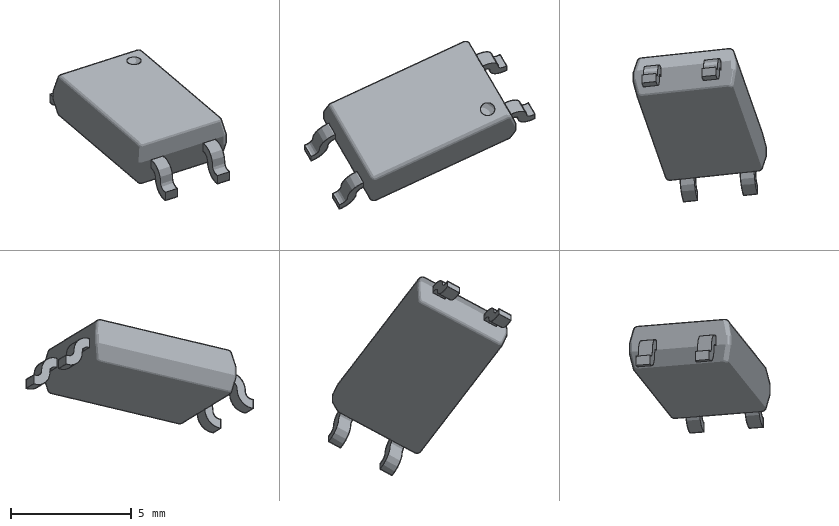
import cadquery as cq
import math

overall_length = 9.18
overall_height = 2.2
body_length = 6.9
body_width = 4.39
body_height = 2.0
body_taper = 12.0
edge_radius = 0.2

lead_thickness = 0.4
lead_width = 0.6
lead_pitch = 2.54
inner_bend = 0.29
foot_flat = 0.09
lead_embed = 0.18

dimple_diameter = 0.6
dimple_depth = 0.1
dimple_edge_distance = 0.93

outer_bend = inner_bend + lead_thickness
lead_top = inner_bend + outer_bend + lead_thickness
belt_bottom = lead_top - lead_thickness
body_bottom = overall_height - body_height


def tapered_half(start_z, height):
    """Half of the body, narrowing away from the belt; negative height goes down."""
    return (
        cq.Workplane("XY", origin=(0, 0, start_z))
        .rect(body_length, body_width)
        .extrude(height, taper=body_taper)
    )


def make_body():
    belt = (
        cq.Workplane("XY", origin=(0, 0, belt_bottom))
        .rect(body_length, body_width)
        .extrude(lead_thickness)
    )
    upper = tapered_half(lead_top, overall_height - lead_top)
    lower = tapered_half(belt_bottom, body_bottom - belt_bottom)
    body = belt.union(upper).union(lower)
    corners = body.edges("not #Z")
    rims = body.edges("<Z or >Z")
    return body.newObject(corners.vals() + rims.vals()).fillet(edge_radius)


def make_lead(y_center):
    """S-shaped lead on the -X end."""
    foot_end = -overall_length / 2
    bend_start = foot_end + foot_flat
    bend_end = bend_start + inner_bend + outer_bend
    root = -body_length / 2 + lead_embed
    diagonal = math.sqrt(0.5)
    foot_center_z = outer_bend
    shoulder_center_z = belt_bottom - inner_bend

    def foot_arc_middle(radius):
        return (bend_start + radius * diagonal, foot_center_z - radius * diagonal)

    def shoulder_arc_middle(radius):
        return (bend_end - radius * diagonal, shoulder_center_z + radius * diagonal)

    return (
        cq.Workplane("XZ", origin=(0, y_center, 0))
        .moveTo(foot_end, 0)
        .lineTo(bend_start, 0)
        .threePointArc(foot_arc_middle(outer_bend), (bend_start + outer_bend, foot_center_z))
        .threePointArc(shoulder_arc_middle(inner_bend), (bend_end, belt_bottom))
        .lineTo(root, belt_bottom)
        .lineTo(root, lead_top)
        .lineTo(bend_end, lead_top)
        .threePointArc(shoulder_arc_middle(outer_bend), (bend_end - outer_bend, shoulder_center_z))
        .threePointArc(foot_arc_middle(inner_bend), (bend_start, lead_thickness))
        .lineTo(foot_end, lead_thickness)
        .close()
        .extrude(lead_width / 2, both=True)
    )


def make_dimple():
    """Shallow spherical cap, with the sphere's poles along X."""
    sphere_radius = ((dimple_diameter / 2) ** 2 + dimple_depth**2) / (2 * dimple_depth)
    center = (
        -body_length / 2 + dimple_edge_distance,
        lead_pitch / 2,
        overall_height - dimple_depth + sphere_radius,
    )
    return cq.Workplane("XY").sphere(sphere_radius).rotate((0, 0, 0), (0, 1, 0), -90).translate(center)


result = make_body().cut(make_dimple())
for side in (-1, 1):
    lead = make_lead(side * lead_pitch / 2)
    result = result.union(lead).union(lead.mirror("YZ"))